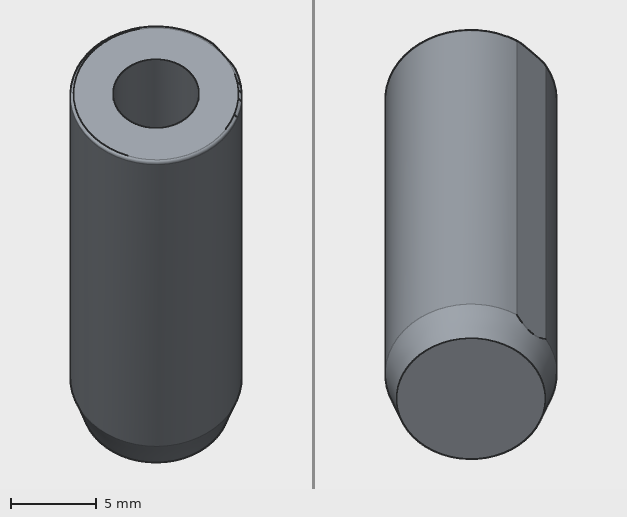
import cadquery as cq
import math

pin_diameter = 10.0
pin_length = 30.0
pin_radius = pin_diameter / 2

top_fillet = 0.2
fillet_midpoint_inset = top_fillet * (1 - math.sqrt(0.5))

lead_length = 2.5
lead_angle = 15.0
tip_radius = pin_radius - lead_length * math.tan(math.radians(lead_angle))

flat_depth = 0.15
flat_y = pin_radius - flat_depth

hole_diameter = 5.0
hole_depth = 15.0
drill_point_angle = 118.0
hole_radius = hole_diameter / 2
drill_point_length = hole_radius / math.tan(math.radians(drill_point_angle / 2))


def make_pin_body():
    """Pin with a tapered bottom end and a rounded top edge, revolved about Z."""
    profile = (
        cq.Workplane("XZ")
        .moveTo(0, 0)
        .lineTo(tip_radius, 0)
        .lineTo(pin_radius, lead_length)
        .lineTo(pin_radius, pin_length - top_fillet)
        .threePointArc(
            (pin_radius - fillet_midpoint_inset, pin_length - fillet_midpoint_inset),
            (pin_radius - top_fillet, pin_length),
        )
        .lineTo(0, pin_length)
        .close()
    )
    return profile.revolve(360, (0, 0), (0, 1))


def make_hole():
    """Drilled hole volume with a conical bottom, open at the top end."""
    wall_bottom = pin_length - hole_depth
    profile = (
        cq.Workplane("XZ")
        .moveTo(0, wall_bottom - drill_point_length)
        .lineTo(hole_radius, wall_bottom)
        .lineTo(hole_radius, pin_length)
        .lineTo(0, pin_length)
        .close()
    )
    return profile.revolve(360, (0, 0), (0, 1))


def make_flat_cut():
    """Block that shaves the full-length flat off the +Y side."""
    return (
        cq.Workplane("XY")
        .box(pin_diameter, pin_radius, pin_length, centered=(True, False, False))
        .translate((0, flat_y, 0))
    )


result = make_pin_body().cut(make_hole()).cut(make_flat_cut())